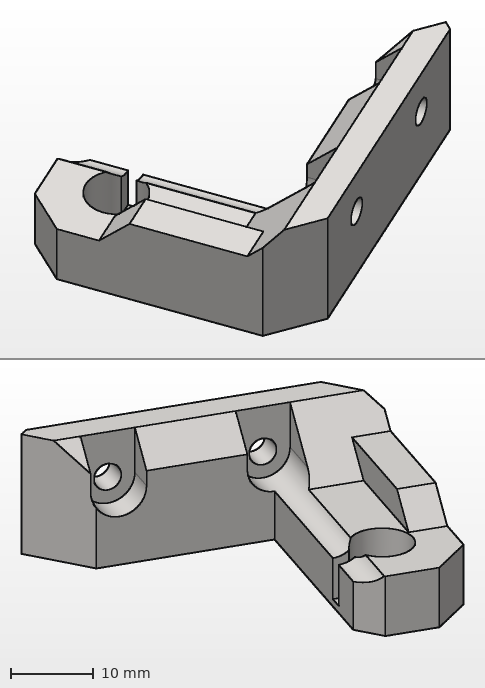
import cadquery as cq

length = 38.0
depth = 45.0
height = 16.0

arm_depth = 15.0
wall_inner_x = 29.95
front_end_chamfer = 5.0
back_end_chamfer = 3.0
corner_chamfer = 6.0
wall_tip_bevel = 7.0

arm_height = 8.0
step = (height - arm_height) / 2
ledge_height = arm_height + step
ledge_start_x = 10.55
ledge_depth = 5.0
wall_top_x = wall_inner_x + step
ramp_foot_x = wall_inner_x - step

screw_spacing = 20.02
screw_z = 10.0
screw_diameter = 3.5
recess_width = 7.0
screw_ys = [arm_depth, arm_depth + screw_spacing]

bore_x = 9.0
bore_y = 9.0
bore_diameter = 8.0
slot_width = 2.0
slot_floor = 1.0


def extrude_side_profile(points, start_y, end_y):
    """Extrude an XZ outline between two Y positions."""
    return (
        cq.Workplane("XZ", origin=(0, start_y, 0))
        .polyline(points)
        .close()
        .extrude(start_y - end_y)
    )


def make_plan_block():
    """Full-height block with the L-shaped, bevelled outline."""
    wall_tip_x = wall_inner_x + wall_tip_bevel
    outline = [
        (front_end_chamfer, 0),
        (length - corner_chamfer, 0),
        (length, corner_chamfer),
        (length, depth - (length - wall_tip_x)),
        (wall_tip_x, depth),
        (wall_inner_x, depth - wall_tip_bevel),
        (wall_inner_x, arm_depth),
        (back_end_chamfer, arm_depth),
        (0, arm_depth - back_end_chamfer),
        (0, front_end_chamfer),
    ]
    return cq.Workplane("XY").polyline(outline).close().extrude(height)


def make_height_envelope():
    """Ramp from the arm up to the wall, plus the raised ledge along the front."""
    ramp = extrude_side_profile(
        [
            (0, 0),
            (length, 0),
            (length, height),
            (wall_top_x, height),
            (ramp_foot_x, arm_height),
            (0, arm_height),
        ],
        0,
        depth,
    )
    ledge = extrude_side_profile(
        [
            (ledge_start_x, arm_height),
            (ledge_start_x + step, ledge_height),
            (wall_inner_x, ledge_height),
            (wall_top_x, height),
            (length, height),
            (length, 0),
            (ledge_start_x, 0),
        ],
        0,
        ledge_depth,
    )
    return ramp.union(ledge)


def make_screw_cut(y):
    """Screw hole and its head recess, which runs clear to the free end of the arm."""
    hole = (
        cq.Workplane("YZ", origin=(0, y, screw_z))
        .circle(screw_diameter / 2)
        .extrude(length)
    )
    recess_round = (
        cq.Workplane("YZ", origin=(0, y, screw_z))
        .circle(recess_width / 2)
        .extrude(wall_top_x)
    )
    recess_opening = cq.Workplane("XY").box(
        wall_top_x, recess_width, height - screw_z, centered=(False, True, False)
    ).translate((0, y, screw_z))
    return hole.union(recess_round).union(recess_opening)


def make_bore_cut():
    """Through bore and the slot joining it to the back of the arm."""
    bore = (
        cq.Workplane("XY")
        .center(bore_x, bore_y)
        .circle(bore_diameter / 2)
        .extrude(height)
    )
    slot = cq.Workplane("XY").box(
        slot_width, arm_depth - bore_y, height, centered=(True, False, False)
    ).translate((bore_x, bore_y, slot_floor))
    return bore.union(slot)


result = make_plan_block().intersect(make_height_envelope())
for screw_y in screw_ys:
    result = result.cut(make_screw_cut(screw_y))
result = result.cut(make_bore_cut())